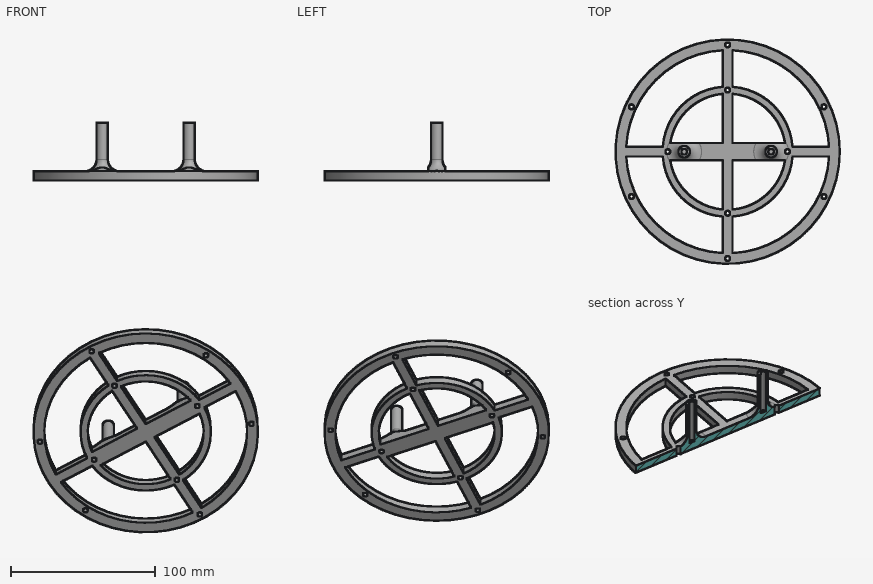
import cadquery as cq
import math

outer_diameter = 155.0
overall_height = 40.0
base_thickness = 6.5

rim_inner_diameter = 140.0
hub_ring_outer_diameter = 90.0
hub_ring_inner_diameter = 80.0
rim_mid_radius = (outer_diameter + rim_inner_diameter) / 4
hub_ring_mid_radius = (hub_ring_outer_diameter + hub_ring_inner_diameter) / 4
spoke_width = 7.0
pin_bar_width = 12.0

pin_diameter = 8.0
pin_bore_diameter = 4.0
pin_offset = 30.0
foot_radius = 8.0
pin_bore_depth = overall_height - base_thickness

screw_diameter = 3.2
rim_screw_y = rim_mid_radius
rim_diagonal_screw_radius = 73.3
rim_diagonal_screw_angle = 25.0
hub_screw_x = 41.3
hub_screw_y = hub_ring_mid_radius


def ring(outer, inner, height):
    """Flat ring with the given diameters, standing on Z = 0."""
    return cq.Workplane("XY").circle(outer / 2).circle(inner / 2).extrude(height)


def footprint(height):
    """Rim, hub ring, cross spokes and the wide pin bar, extruded up from Z = 0."""
    spoke_length = 2 * rim_mid_radius
    bar_length = 2 * hub_ring_mid_radius
    body = ring(outer_diameter, rim_inner_diameter, height)
    body = body.union(ring(hub_ring_outer_diameter, hub_ring_inner_diameter, height))
    for length_x, length_y in (
        (spoke_length, spoke_width),
        (spoke_width, spoke_length),
        (bar_length, pin_bar_width),
    ):
        body = body.union(cq.Workplane("XY").rect(length_x, length_y).extrude(height))
    return body


def flared_pin(x):
    """Solid pin whose foot flares out in a quarter-circle fillet onto the base."""
    full_turn = 360
    pin_radius = pin_diameter / 2
    foot_top = base_thickness + foot_radius
    arc_reach = foot_radius * (1 - math.sqrt(0.5))
    profile = (
        cq.Workplane("XZ")
        .lineTo(pin_radius + foot_radius, 0)
        .lineTo(pin_radius + foot_radius, base_thickness)
        .threePointArc(
            (pin_radius + arc_reach, base_thickness + arc_reach),
            (pin_radius, foot_top),
        )
        .lineTo(pin_radius, overall_height)
        .lineTo(0, overall_height)
        .close()
    )
    return profile.revolve(full_turn, (0, 0), (0, 1)).translate((x, 0, 0))


def screw_points():
    """Four holes on the hub ring, two on the rim's Y axis and four on its diagonals."""
    diagonal_x = rim_diagonal_screw_radius * math.cos(math.radians(rim_diagonal_screw_angle))
    diagonal_y = rim_diagonal_screw_radius * math.sin(math.radians(rim_diagonal_screw_angle))
    points = []
    for side in (-1, 1):
        points.append((0, side * rim_screw_y))
        points.append((0, side * hub_screw_y))
        points.append((side * hub_screw_x, 0))
        points.append((side * diagonal_x, diagonal_y))
        points.append((side * diagonal_x, -diagonal_y))
    return points


pin_points = [(-pin_offset, 0), (pin_offset, 0)]

result = footprint(base_thickness)
trim = footprint(overall_height)
for pin_x, _ in pin_points:
    result = result.union(flared_pin(pin_x).intersect(trim))

screws = cq.Workplane("XY").pushPoints(screw_points()).circle(screw_diameter / 2)
result = result.cut(screws.extrude(overall_height))

bores = cq.Workplane("XY").workplane(offset=overall_height).pushPoints(pin_points)
result = result.cut(bores.circle(pin_bore_diameter / 2).extrude(-pin_bore_depth))